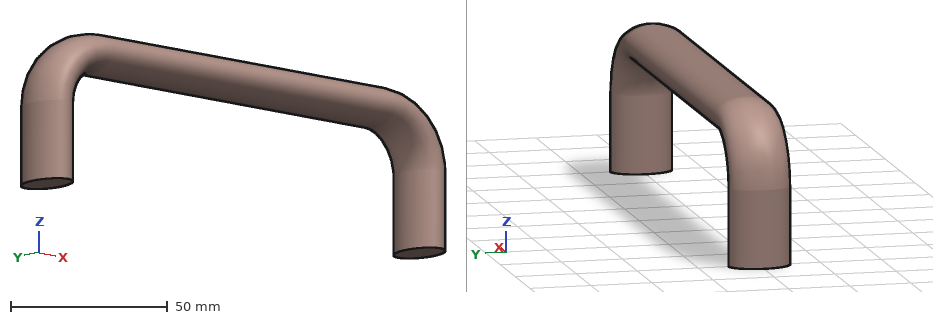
import cadquery as cq

length = 173.0
height = 51.0
grip_width = 20.0
grip_thickness = 13.0
outer_bend_radius = 25.6

half_thickness = grip_thickness / 2
leg_x = length / 2 - half_thickness
bar_z = height - half_thickness
bend_radius = outer_bend_radius - half_thickness
bend_start_x = leg_x - bend_radius
bend_start_z = bar_z - bend_radius

centreline = (
    cq.Workplane("XZ")
    .moveTo(-leg_x, 0)
    .lineTo(-leg_x, bend_start_z)
    .tangentArcPoint((-bend_start_x, bar_z), relative=False)
    .lineTo(bend_start_x, bar_z)
    .tangentArcPoint((leg_x, bend_start_z), relative=False)
    .lineTo(leg_x, 0)
)

result = (
    cq.Workplane("XY")
    .center(-leg_x, 0)
    .ellipse(half_thickness, grip_width / 2)
    .sweep(centreline)
)